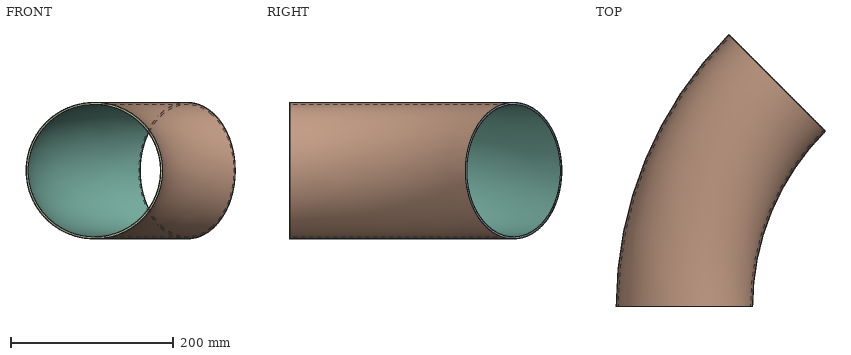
import cadquery as cq
import math

bend_angle = 45.0
overall_length = 335.3
outer_diameter = 168.3
wall_thickness = 2.6

outer_radius = outer_diameter / 2
inner_radius = outer_radius - wall_thickness
bend_radius = overall_length / math.sin(math.radians(bend_angle)) - outer_radius

bend_axis_start = (bend_radius, 0)
bend_axis_end = (bend_radius, -1)

result = (
    cq.Workplane("XZ")
    .circle(outer_radius)
    .circle(inner_radius)
    .revolve(bend_angle, bend_axis_start, bend_axis_end)
)